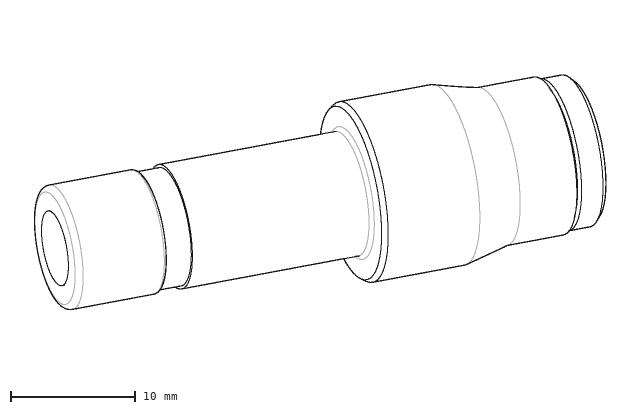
import cadquery as cq

total_length = 45.0
bore_radius = 3.05

stem_radius = 5.08
tip_fillet = 0.5
groove_radius = 4.83
groove_start = 7.7
groove_end = 9.85
groove_lip_fillet = stem_radius - groove_radius
root_fillet = 0.33

barrel_radius = 7.37
barrel_start = 25.3
barrel_end = 33.6
barrel_chamfer_axial = 0.45
barrel_chamfer_radial = 0.3
sleeve_radius = 6.45
sleeve_start = 37.4
sleeve_end = 42.25

neck_radius = 5.5
collar_radius = 6.2
collar_start = 42.5
collar_back_chamfer = 0.25
collar_front_chamfer = 0.42


def solid_of_revolution(outline):
    """Close a (radius, y) outline and turn it about the Y axis."""
    return outline.close().revolve(360, (0, 0, 0), (0, 1, 0))


def make_stem():
    """Stem with a rounded tip, a groove with one rounded lip, and a filleted root at the barrel."""
    outline = (
        cq.Workplane("XY")
        .lineTo(stem_radius - tip_fillet, 0)
        .radiusArc((stem_radius, tip_fillet), -tip_fillet)
        .lineTo(stem_radius, groove_start - groove_lip_fillet)
        .radiusArc((groove_radius, groove_start), -groove_lip_fillet)
        .lineTo(groove_radius, groove_end)
        .lineTo(stem_radius, groove_end)
        .lineTo(stem_radius, barrel_start - root_fillet)
        .radiusArc((stem_radius + root_fillet, barrel_start), root_fillet)
        .lineTo(0, barrel_start)
    )
    return solid_of_revolution(outline)


def make_body():
    """Barrel with a chamfered shoulder, tapering to the sleeve."""
    outline = (
        cq.Workplane("XY")
        .moveTo(0, barrel_start)
        .lineTo(barrel_radius - barrel_chamfer_radial, barrel_start)
        .lineTo(barrel_radius, barrel_start + barrel_chamfer_axial)
        .lineTo(barrel_radius, barrel_end)
        .lineTo(sleeve_radius, sleeve_start)
        .lineTo(sleeve_radius, sleeve_end)
        .lineTo(0, sleeve_end)
    )
    return solid_of_revolution(outline)


def make_collar():
    """Neck and release collar, chamfered on both edges of the collar."""
    outline = (
        cq.Workplane("XY")
        .moveTo(0, sleeve_end)
        .lineTo(neck_radius, sleeve_end)
        .lineTo(neck_radius, collar_start)
        .lineTo(collar_radius - collar_back_chamfer, collar_start)
        .lineTo(collar_radius, collar_start + collar_back_chamfer)
        .lineTo(collar_radius, total_length - collar_front_chamfer)
        .lineTo(collar_radius - collar_front_chamfer, total_length)
        .lineTo(0, total_length)
    )
    return solid_of_revolution(outline)


def make_bore():
    """Straight bore through the whole length."""
    outline = (
        cq.Workplane("XY")
        .lineTo(bore_radius, 0)
        .lineTo(bore_radius, total_length)
        .lineTo(0, total_length)
    )
    return solid_of_revolution(outline)


result = make_stem().union(make_body()).union(make_collar()).cut(make_bore())